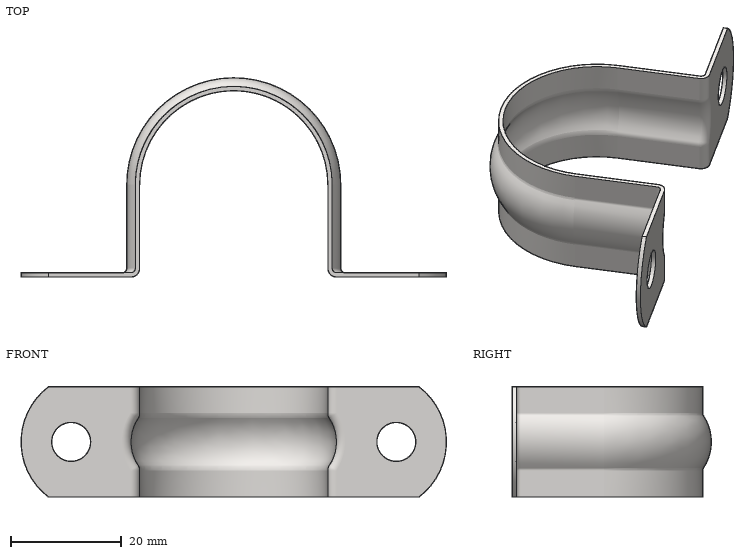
import cadquery as cq
import math


SHEET = 0.8
WIDTH = 20.0
INNER_RADIUS = 17.0
OUTER_RADIUS = INNER_RADIUS + SHEET
OVERALL_DEPTH = 36.07

BEAD_HEIGHT = 1.57
BEAD_OUTER_RADIUS = 8.5
BEAD_INNER_RADIUS = BEAD_OUTER_RADIUS - SHEET

BEND_INSIDE = 0.8
BEND_OUTSIDE = BEND_INSIDE + SHEET

OVERALL_LENGTH = 76.96
FOOT_END_RADIUS = 12.5
HOLE_DIAMETER = 7.0
HOLE_SPACING = 58.8

EDGE_MARGIN = 0.05

FOOT_FRONT = OUTER_RADIUS + BEAD_HEIGHT - OVERALL_DEPTH
FOOT_BACK = FOOT_FRONT + SHEET


def bead_half_chord(bead_radius):
    """Half width of the bead where its arc meets the flat of the strap."""
    return math.sqrt(2 * bead_radius * BEAD_HEIGHT - BEAD_HEIGHT**2)


def beaded_profile(radius, bead_radius):
    """Half section in XZ of a filled U, reaching from the arch axis to the beaded wall."""
    half_width = WIDTH / 2
    half_chord = bead_half_chord(bead_radius)
    return (
        cq.Workplane("XZ")
        .moveTo(0, -half_width)
        .lineTo(radius, -half_width)
        .lineTo(radius, -half_chord)
        .threePointArc((radius + BEAD_HEIGHT, 0), (radius, half_chord))
        .lineTo(radius, half_width)
        .lineTo(0, half_width)
        .close()
    )


def filled_u(radius, bead_radius):
    """Solid U with a beaded wall: a half turn for the arch and straight legs down to the feet."""
    arch = beaded_profile(radius, bead_radius).revolve(180, (0, 0, 0), (0, 1, 0))
    right_leg = beaded_profile(radius, bead_radius).extrude(-FOOT_FRONT)
    left_leg = right_leg.mirror("YZ")
    return arch.union(right_leg).union(left_leg)


def feet_plate():
    """Flat plate with rounded ends that holds both feet before the strap opening is cut."""
    tip = OVERALL_LENGTH / 2
    half_width = WIDTH / 2
    shoulder = tip - FOOT_END_RADIUS + math.sqrt(FOOT_END_RADIUS**2 - half_width**2)
    return (
        cq.Workplane("XZ", origin=(0, FOOT_BACK, 0))
        .moveTo(-shoulder, -half_width)
        .lineTo(shoulder, -half_width)
        .threePointArc((tip, 0), (shoulder, half_width))
        .lineTo(-shoulder, half_width)
        .threePointArc((-tip, 0), (-shoulder, -half_width))
        .close()
        .extrude(SHEET)
    )


def round_bends(body, radius, bead_radius, foot_y, bend_radius):
    """Round, on one face of the sheet, the bead creases and the bends between legs and feet."""
    half_chord = bead_half_chord(bead_radius)
    reach = radius + BEAD_HEIGHT + EDGE_MARGIN

    def is_bead_crease(edge):
        box = edge.BoundingBox()
        return box.zlen < EDGE_MARGIN and abs(abs(box.center.z) - half_chord) < EDGE_MARGIN

    def is_foot_bend(edge):
        box = edge.BoundingBox()
        in_foot_face = box.ylen < EDGE_MARGIN and abs(box.center.y - foot_y) < EDGE_MARGIN
        beside_leg = radius - EDGE_MARGIN < abs(box.center.x) < reach
        return in_foot_face and beside_leg and box.zlen > EDGE_MARGIN

    bends = body.edges().filter(lambda edge: is_bead_crease(edge) or is_foot_bend(edge))
    return bends.fillet(bend_radius)


def drill_feet(body):
    """Screw hole through each foot."""
    holes = (
        cq.Workplane("XZ", origin=(0, FOOT_BACK, 0))
        .pushPoints([(-HOLE_SPACING / 2, 0), (HOLE_SPACING / 2, 0)])
        .circle(HOLE_DIAMETER / 2)
        .extrude(SHEET)
    )
    return body.cut(holes)


outer_u = filled_u(OUTER_RADIUS, BEAD_OUTER_RADIUS)
inner_u = filled_u(INNER_RADIUS, BEAD_INNER_RADIUS)
strap = feet_plate().union(outer_u).cut(inner_u)

strap = round_bends(strap, OUTER_RADIUS, BEAD_OUTER_RADIUS, FOOT_BACK, BEND_INSIDE)
strap = round_bends(strap, INNER_RADIUS, BEAD_INNER_RADIUS, FOOT_FRONT, BEND_OUTSIDE)
result = drill_feet(strap)